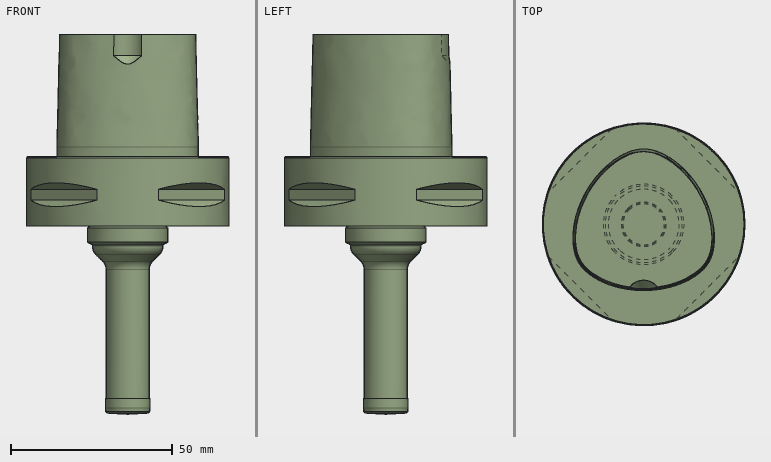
import cadquery as cq
import math


shank_height = 38.0
shank_base_width = 44.0
shank_top_width = 42.4
lobe_height = 1.4
band_height = 3.0
lobe_count = 3
section_points = 48

notch_radius = 5.3
notch_depth = 6.6
notch_inner_y = -17.3
notch_floor_slope = 45

flange_diameter = 63.0
flange_height = 21.6
flange_chamfer = 0.4
slot_count = 4
slot_first_angle = 45
slot_floor_distance = 28.0
slot_floor_height = 3.3
slot_center_z = -11.8
slot_wall_slope = 30
slot_overshoot = 1.2

rod_bottom_z = shank_height - 118
collar_diameter = 25.0
collar_height = 5.0
collar_top_chamfer = 0.6
shoulder_diameter = 22.0
shoulder_chamfer = 0.8
shoulder_corner_z = -29.3
rod_diameter = 13.5
cone_angle = 45
cone_blend_radius = 3.5
tip_diameter = 13.9
tip_end_diameter = 13.7
tip_height = 4.8
tip_band_height = 2.8
tip_chamfer = 0.5
point_height = 0.4


def lobed_section(width, z):
    """Closed curve of constant width with three lobes, lying at height z."""
    def point(turn):
        angle = 2 * math.pi * turn
        reach = width / 2 + lobe_height * math.cos(lobe_count * angle)
        slope = -lobe_count * lobe_height * math.sin(lobe_count * angle)
        x = -reach * math.sin(angle) - slope * math.cos(angle)
        y = reach * math.cos(angle) - slope * math.sin(angle)
        return cq.Vector(x, y, z)

    points = [point(i / section_points) for i in range(section_points)]
    edge = cq.Edge.makeSpline(points, periodic=True)
    return cq.Wire.assembleEdges([edge])


def make_shank():
    base = lobed_section(shank_base_width, 0)
    band_top = lobed_section(shank_base_width, band_height)
    top = lobed_section(shank_top_width, shank_height)
    band = cq.Workplane(cq.Solid.makeLoft([base, band_top], True))
    taper = cq.Workplane(cq.Solid.makeLoft([band_top, top], True))
    return band.union(taper)


def make_notch():
    """Upright round cutter with a conical point, its axis outside the shank."""
    floor_z = shank_height - notch_depth
    point_z = floor_z - notch_radius * math.tan(math.radians(notch_floor_slope))
    return (
        cq.Workplane("XZ")
        .moveTo(0, point_z)
        .lineTo(notch_radius, floor_z)
        .lineTo(notch_radius, shank_height)
        .lineTo(0, shank_height)
        .close()
        .revolve(360, (0, 0), (0, 1))
        .translate((0, notch_inner_y - notch_radius, 0))
    )


def make_flange():
    return (
        cq.Workplane("XY")
        .circle(flange_diameter / 2)
        .extrude(-flange_height)
        .faces(">Z")
        .edges()
        .chamfer(flange_chamfer)
    )


def make_slot(angle):
    """Trapezoidal slot with a flat floor and flared walls, cut across the rim."""
    outer_x = flange_diameter / 2 + slot_overshoot
    inner_half = slot_floor_height / 2
    flare = (outer_x - slot_floor_distance) * math.tan(math.radians(slot_wall_slope))
    outer_half = inner_half + flare
    return (
        cq.Workplane("XZ", origin=(0, 0, slot_center_z))
        .moveTo(slot_floor_distance, -inner_half)
        .lineTo(outer_x, -outer_half)
        .lineTo(outer_x, outer_half)
        .lineTo(slot_floor_distance, inner_half)
        .close()
        .extrude(flange_diameter / 2, both=True)
        .rotate((0, 0, 0), (0, 0, 1), angle)
    )


def make_holder():
    holder = make_shank().cut(make_notch()).union(make_flange())
    for i in range(slot_count):
        holder = holder.cut(make_slot(slot_first_angle + i * 360 / slot_count))
    return holder


def make_rod():
    """Turned rod: collar, shoulder, blended cone, long stem and shallow conical tip."""
    collar_r = collar_diameter / 2
    shoulder_r = shoulder_diameter / 2
    rod_r = rod_diameter / 2
    tip_r = tip_diameter / 2
    tip_end_r = tip_end_diameter / 2
    collar_top_z = -flange_height
    collar_bottom_z = collar_top_z - collar_height
    tip_top_z = rod_bottom_z + tip_height

    half_cone_angle = math.radians(cone_angle) / 2
    blend_reach = cone_blend_radius * math.tan(half_cone_angle)
    blend_in = blend_reach * math.sin(2 * half_cone_angle)
    blend_down = blend_reach * math.cos(2 * half_cone_angle)
    stem_corner_z = shoulder_corner_z - (shoulder_r - rod_r) / math.tan(2 * half_cone_angle)

    return (
        cq.Workplane("XZ")
        .moveTo(0, collar_top_z)
        .lineTo(collar_r - collar_top_chamfer, collar_top_z)
        .lineTo(collar_r, collar_top_z - collar_top_chamfer)
        .lineTo(collar_r, collar_bottom_z)
        .lineTo(shoulder_r, collar_bottom_z - shoulder_chamfer)
        .lineTo(shoulder_r, shoulder_corner_z + blend_reach)
        .tangentArcPoint((shoulder_r - blend_in, shoulder_corner_z - blend_down), relative=False)
        .lineTo(rod_r + blend_in, stem_corner_z + blend_down)
        .tangentArcPoint((rod_r, stem_corner_z - blend_reach), relative=False)
        .lineTo(rod_r, tip_top_z)
        .lineTo(tip_r, tip_top_z)
        .lineTo(tip_r, tip_top_z - tip_band_height)
        .lineTo(tip_end_r, rod_bottom_z + point_height + tip_chamfer)
        .lineTo(tip_end_r - tip_chamfer, rod_bottom_z + point_height)
        .lineTo(0, rod_bottom_z)
        .close()
        .revolve(360, (0, 0), (0, 1))
    )


holder = make_holder()
rod = make_rod()
result = cq.Compound.makeCompound([holder.val(), rod.val()])